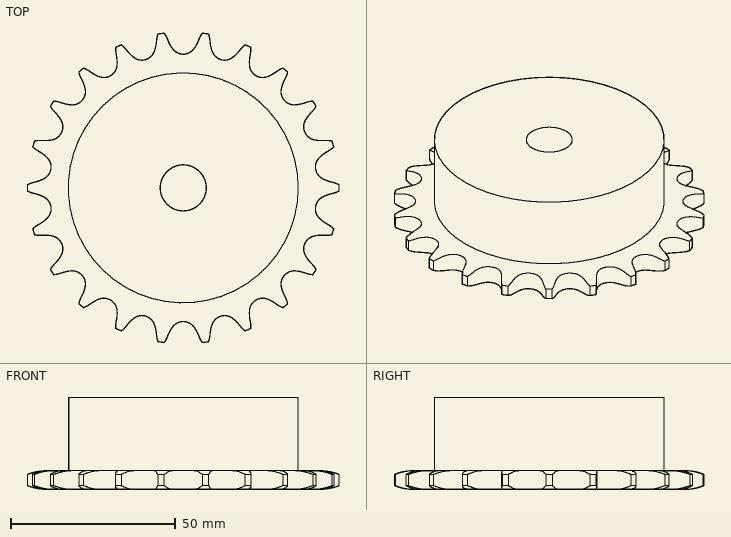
import cadquery as cq
import math


tooth_count = 22
chain_pitch = 12.7
roller_d = 7.8
seat_r = 4.0
tip_d = 95.0
plate_t = 5.7
tooth_side_start_r = 41.9
tooth_side_drop = 1.1
hub_d = 70.0
bore_d = 14.0
total_height = 28.0

seat_angle = 35 + 60 / tooth_count
flank_turn = 18 - 56 / tooth_count
flank_center_offset = 0.8 * roller_d
topping_center_offset = 1.4 * roller_d

tip_r = tip_d / 2
step_angle = 360 / tooth_count
half_step = step_angle / 2
pitch_r = chain_pitch / (2 * math.sin(math.radians(half_step)))
cutter_r = 1.2 * tip_r


def polar(length, degrees):
    """Vector of the given length and direction in the XY plane."""
    angle = math.radians(degrees)
    return cq.Vector(length * math.cos(angle), length * math.sin(angle), 0)


def mirrored(point):
    """Matching point on the other side of the X axis."""
    x, y = point
    return x, -y


def on_circle_toward(center, radius, point):
    """Point of a circle that lies in the direction of another point."""
    return center + (point - center).normalized() * radius


def gap_side_points():
    """One side of the tooth gap on +X, from the end of the seat out to the cutter rim.

    A concave flank arc leads into a short straight, then a convex topping arc.
    """
    roller_center = cq.Vector(pitch_r, 0, 0)
    seat_dir = 90 + seat_angle
    flank_dir = seat_dir - flank_turn

    flank_r = seat_r + flank_center_offset
    flank_center = roller_center - polar(flank_center_offset, seat_dir)
    seat_end = roller_center + polar(seat_r, seat_dir)
    flank_mid = flank_center + polar(flank_r, seat_dir - flank_turn / 2)
    flank_end = flank_center + polar(flank_r, flank_dir)

    topping_center = roller_center + polar(topping_center_offset, 90 + half_step)
    topping_r = (topping_center - flank_end).dot(polar(1, flank_dir))
    topping_start = topping_center - polar(topping_r, flank_dir)

    center_r = topping_center.Length
    cos_to_tip = (center_r**2 + tip_r**2 - topping_r**2) / (2 * center_r * tip_r)
    center_angle = math.degrees(math.atan2(topping_center.y, topping_center.x))
    tip_angle = center_angle - math.degrees(math.acos(cos_to_tip))
    tip_corner = polar(tip_r, tip_angle)
    topping_mid = on_circle_toward(topping_center, topping_r, (topping_start + tip_corner) / 2)

    rim = polar(cutter_r, tip_angle)
    points = [seat_end, flank_mid, flank_end, topping_start, topping_mid, tip_corner, rim]
    return [(point.x, point.y) for point in points]


def make_gap_cutter():
    """Prism that removes the tooth gap lying on +X."""
    seat_end, flank_mid, flank_end, topping_start, topping_mid, tip_corner, rim = gap_side_points()
    return (
        cq.Workplane("XY")
        .moveTo(*mirrored(rim))
        .lineTo(*mirrored(tip_corner))
        .threePointArc(mirrored(topping_mid), mirrored(topping_start))
        .lineTo(*mirrored(flank_end))
        .threePointArc(mirrored(flank_mid), mirrored(seat_end))
        .threePointArc((pitch_r - seat_r, 0), seat_end)
        .threePointArc(flank_mid, flank_end)
        .lineTo(*topping_start)
        .threePointArc(topping_mid, tip_corner)
        .lineTo(*rim)
        .close()
        .extrude(plate_t)
    )


def make_plate_blank():
    """Disc whose two faces curve toward each other near the rim."""
    side_width = tip_r - tooth_side_start_r
    side_r = (side_width**2 + tooth_side_drop**2) / (2 * tooth_side_drop)
    half_sweep = math.asin(side_width / side_r) / 2
    mid_r = tooth_side_start_r + side_r * math.sin(half_sweep)
    mid_drop = side_r * (1 - math.cos(half_sweep))
    return (
        cq.Workplane("XZ")
        .lineTo(tooth_side_start_r, 0)
        .threePointArc((mid_r, mid_drop), (tip_r, tooth_side_drop))
        .lineTo(tip_r, plate_t - tooth_side_drop)
        .threePointArc((mid_r, plate_t - mid_drop), (tooth_side_start_r, plate_t))
        .lineTo(0, plate_t)
        .close()
        .revolve(360, (0, 0, 0), (0, 1, 0))
    )


def make_toothed_plate():
    """Plate with a tooth centred on +X and the gaps half a step to either side."""
    plate = make_plate_blank()
    gap_cutter = make_gap_cutter()
    for index in range(tooth_count):
        gap_angle = half_step + index * step_angle
        plate = plate.cut(gap_cutter.rotate((0, 0, 0), (0, 0, 1), gap_angle))
    return plate


hub = cq.Workplane("XY").circle(hub_d / 2).extrude(total_height)
bore = cq.Workplane("XY").circle(bore_d / 2).extrude(total_height)

result = make_toothed_plate().union(hub).cut(bore)